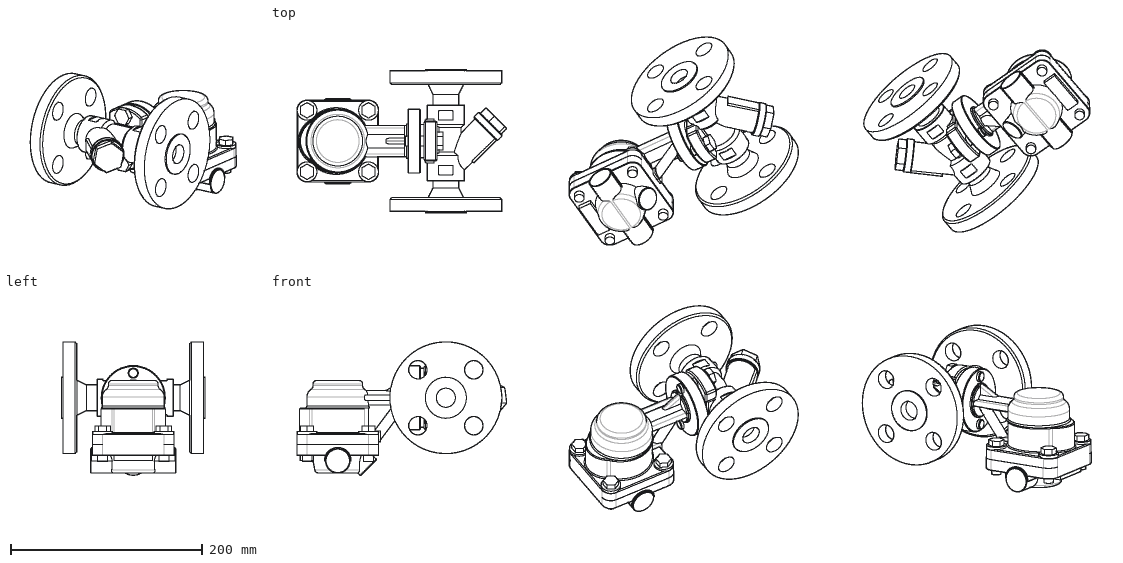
import cadquery as cq
import math

X_AXIS = (1, 0, 0)
Y_AXIS = (0, 1, 0)
Z_AXIS = (0, 0, 1)

pipe_length = 150.0
flange_dia = 117.0
flange_thickness = 14.6
flange_edge_chamfer = 2.0
raised_face_dia = 42.9
raised_face_height = 1.5
bolt_circle_dia = 82.6
flange_hole_dia = 19.0
flange_hole_count = 4
neck_dia = 27.2
neck_base_dia = 37.0
neck_taper_length = 10.0
neck_overlap = 1.0
bore_dia = 20.0
bore_depth = 10.0

body_dia = 39.0
body_y_min = -41.8
body_y_max = 37.7
body_edge_chamfer = 0.5
waist_dia = 32.0
waist_y_min = -11.6
waist_y_max = 14.0
waist_shoulder_length = 3.5
body_flat_width = 16.0
body_flat_length = 10.0
body_flat_corner = 1.5
body_flat_z = 18.0
body_flat_centres = (26.8, -30.3)

joint_dia = 67.0
joint_chamfer = 0.8
disc_x_min = -39.7
disc_thickness = 13.2
gap_width = 3.6
gasket_dia = 35.0
joint_block_width = 42.0
joint_block_thickness = 13.8
joint_block_chamfer = 1.5
joint_lug_height = 30.0
joint_lug_extra_width = 2.0
joint_lug_x_min = -22.0
joint_lug_thickness = 15.0
joint_bolt_dia = 10.5
joint_bolt_z = 25.7
joint_bolt_end = 3.3
joint_bolt_head_flats = 16.0
joint_bolt_head_height = 6.0

strainer_angle = 45.0
strainer_face = (52.85, 24.05, 0.0)
strainer_hex_flats = 28.4
strainer_hex_turn = 20.0
strainer_hex_height = 8.3
strainer_hex_chamfer = 0.6
strainer_collar_dia = 35.0
strainer_collar_height = 8.1
strainer_collar_chamfer = 0.8
strainer_base_dia = 29.5
strainer_top_dia = 30.6
strainer_depth = 62.0
strainer_pad_length = 33.5
strainer_pad_width = 12.0
strainer_pad_reach = 16.6

trap_x = -112.9
plate_side = 85.6
plate_corner_radius = 10.7
plate_top_z = -37.4
plate_joint_z = -48.7
plate_bottom_z = -60.5
plate_chamfer = 1.2
cover_inset = 0.2
plate_bolt_offset = 32.1
bolt_pad_dia = 20.6
bolt_pad_top_z = -35.2
plate_bolt_flats = 14.0
plate_bolt_top_z = -29.4
plate_bolt_dia = 10.0
plate_bolt_bottom_z = -66.4

housing_radius = 33.7
housing_shift = -1.6
housing_top_z = -10.7
housing_edge = 1.0
lobe_radius = 24.3
lobe_shift = -15.7
lobe_blend_radius = 14.0
housing_foot = 1.2
dome_radius = 32.3
dome_shoulder_z = 0.9
dome_foot_width = 1.0
dome_foot_top_z = -8.7
crown_radius = 26.0
crown_top_z = 18.1
crown_root_z = 12.6
crown_fillet = 3.7
dome_share = 0.68

bowl_top_radius = 27.0
bowl_bottom_radius = 23.5
bowl_bottom_z = -78.7
bowl_fillet = 4.0
side_boss_dia = 25.7
side_boss_length = 89.4
side_boss_z = -65.9
side_boss_chamfer = 0.6
side_boss_collar_dia = 28.0
side_boss_collar_reach = 0.8
bottom_pad_x_min = -152.3
bottom_pad_x_max = -138.5
bottom_pad_width = 40.2
bottom_pad_bottom_z = -65.8
drain_boss_dia = 24.0
drain_boss_length = 24.0
drain_boss_face = (-80.6, 0.0, -73.15)
drain_boss_chamfer = 0.8

arm_tube_dia = 15.2
arm_end_x = -43.0
arm_web_width = 33.0
arm_web_thickness = 5.8
arm_collar_dia = 33.0
arm_boss_dia = 36.0
arm_boss_x = -41.3
arm_rib_x_min = -62.7
arm_rib_width = 6.0
arm_rib_rounding = 2.5
arm_rib_top_z = 18.5
return_tube_dia = 11.0
return_tube_low = (-77.5, 0.0, -47.3)
return_tube_high = (-43.5, 0.0, -2.0)
return_pad_x = -68.0
return_pad_width = 15.0
return_pad_z_min = -46.0
return_pad_z_max = -34.5
return_pad_corner = 2.0


def rod(start, direction, diameter, length):
    plane = cq.Plane(origin=start, normal=direction)
    return cq.Workplane(plane).circle(diameter / 2).extrude(length)


def slab(x_range, y_range, z_range):
    size = [high - low for low, high in (x_range, y_range, z_range)]
    corner = (x_range[0], y_range[0], z_range[0])
    return cq.Workplane("XY").box(*size, centered=False).translate(corner)


def hexagon(plane, across_flats, height):
    across_corners = across_flats / math.cos(math.pi / 6)
    return cq.Workplane(plane).polygon(6, across_corners).extrude(height)


def pipe_flange():
    """Weld-neck flange at the -Y end, revolved about the pipe axis."""
    face_y = -pipe_length / 2
    front_y = face_y + raised_face_height
    back_y = front_y + flange_thickness
    taper_end_y = back_y + neck_taper_length
    neck_end_y = -body_y_max + neck_overlap
    rim = flange_dia / 2
    return (
        cq.Workplane("XY")
        .moveTo(0, face_y)
        .lineTo(raised_face_dia / 2, face_y)
        .lineTo(raised_face_dia / 2, front_y)
        .lineTo(rim, front_y)
        .lineTo(rim, back_y - flange_edge_chamfer)
        .lineTo(rim - flange_edge_chamfer, back_y)
        .lineTo(neck_base_dia / 2, back_y)
        .lineTo(neck_dia / 2, taper_end_y)
        .lineTo(neck_dia / 2, neck_end_y)
        .lineTo(0, neck_end_y)
        .close()
        .revolve(360, (0, 0), (0, 1))
    )


def flange_openings():
    """Bolt holes of both flanges and the blind bores in the raised faces."""
    holes = (
        cq.Workplane("XZ", origin=(0, pipe_length / 2, 0))
        .polarArray(bolt_circle_dia / 2, 180 / flange_hole_count, 360, flange_hole_count)
        .circle(flange_hole_dia / 2)
        .extrude(pipe_length)
    )
    span = pipe_length / 2 - raised_face_height - flange_thickness
    keep = slab((-flange_dia, flange_dia), (-span, span), (-flange_dia, flange_dia))
    bore = rod((0, -pipe_length / 2, 0), Y_AXIS, bore_dia, bore_depth)
    return holes.cut(keep).union(bore).union(bore.mirror("XZ"))


def connector_body():
    """Round body with a waist behind the bolt heads and wrench flats above and below."""
    rim = body_dia / 2
    waist = waist_dia / 2
    body = (
        cq.Workplane("XY")
        .moveTo(0, body_y_min)
        .lineTo(rim, body_y_min)
        .lineTo(rim, waist_y_min - waist_shoulder_length)
        .lineTo(waist, waist_y_min)
        .lineTo(waist, waist_y_max)
        .lineTo(rim, waist_y_max + waist_shoulder_length)
        .lineTo(rim, body_y_max)
        .lineTo(0, body_y_max)
        .close()
        .revolve(360, (0, 0), (0, 1))
    )
    body = body.faces("<Y or >Y").chamfer(body_edge_chamfer)
    for y in body_flat_centres:
        flat = (
            cq.Workplane("XY", origin=(0, y, body_flat_z))
            .rect(body_flat_width, body_flat_length)
            .extrude(body_dia)
            .edges("|Z")
            .fillet(body_flat_corner)
        )
        body = body.cut(flat).cut(flat.mirror("XY"))
    return body


def joint():
    """Round trap disc, gasket ring and flat-sided connector flange, held by two bolts."""
    disc = rod((disc_x_min, 0, 0), X_AXIS, joint_dia, disc_thickness)
    disc = disc.edges().chamfer(joint_chamfer)
    block_x = disc_x_min + disc_thickness + gap_width
    gasket = rod((disc_x_min, 0, 0), X_AXIS, gasket_dia, block_x - disc_x_min + 1)

    block_end = block_x + joint_block_thickness
    half_width = joint_block_width / 2
    block = rod((block_x, 0, 0), X_AXIS, joint_dia, joint_block_thickness)
    block = block.intersect(
        slab((block_x, block_end), (-half_width, half_width), (-joint_dia, joint_dia))
    )
    block = block.edges().chamfer(joint_block_chamfer)

    lug_half_width = half_width + joint_lug_extra_width
    lug = slab(
        (joint_lug_x_min, joint_lug_x_min + joint_lug_thickness),
        (-lug_half_width, lug_half_width),
        (-joint_lug_height / 2, joint_lug_height / 2),
    )
    assembly = disc.union(gasket).union(block).union(lug.edges("|Z").chamfer(joint_block_chamfer))

    stub_x = disc_x_min - joint_bolt_end
    for z in (-joint_bolt_z, joint_bolt_z):
        bolt = rod((stub_x, 0, z), X_AXIS, joint_bolt_dia, block_end - stub_x)
        bolt = bolt.faces("<X").chamfer(joint_chamfer)
        head_plane = cq.Plane(origin=(block_end, 0, z), xDir=Y_AXIS, normal=X_AXIS)
        head = hexagon(head_plane, joint_bolt_head_flats, joint_bolt_head_height)
        assembly = assembly.union(bolt).union(head)
    return assembly


def strainer():
    """Tapered branch with collar and hexagon cap; local Z points out of the cap face."""
    collar_top = -strainer_hex_height
    collar_bottom = collar_top - strainer_collar_height
    taper = (
        cq.Workplane("XZ")
        .moveTo(0, -strainer_depth)
        .lineTo(strainer_base_dia / 2, -strainer_depth)
        .lineTo(strainer_top_dia / 2, collar_bottom)
        .lineTo(0, collar_bottom)
        .close()
        .revolve(360, (0, 0), (0, 1))
    )
    collar = rod((0, 0, collar_bottom), Z_AXIS, strainer_collar_dia, strainer_collar_height)
    collar = collar.edges().chamfer(strainer_collar_chamfer)
    cap = hexagon("XY", strainer_hex_flats, strainer_hex_height)
    cap_corners = strainer_hex_flats / math.cos(math.pi / 6)
    cap_round = rod((0, 0, 0), Z_AXIS, cap_corners, strainer_hex_height)
    cap = cap.intersect(cap_round.faces(">Z").chamfer(strainer_hex_chamfer))
    cap = cap.rotate((0, 0, 0), Z_AXIS, strainer_hex_turn).translate((0, 0, collar_top))
    pad = slab(
        (0, strainer_pad_reach),
        (-strainer_pad_width / 2, strainer_pad_width / 2),
        (collar_bottom - strainer_pad_length, collar_bottom),
    )
    branch = taper.union(collar).union(cap).union(pad)
    branch = branch.rotate((0, 0, 0), X_AXIS, -90)
    return branch.rotate((0, 0, 0), Z_AXIS, -strainer_angle).translate(strainer_face)


def trap_plate(width_y, bottom_z, top_z):
    return (
        cq.Workplane("XY", origin=(0, 0, bottom_z))
        .rect(plate_side, width_y)
        .extrude(top_z - bottom_z)
        .edges("|Z")
        .fillet(plate_corner_radius)
    )


def trap_plates():
    """Square cover and body plates with four through bolts."""
    upper = trap_plate(plate_side - 2 * cover_inset, plate_joint_z, plate_top_z)
    upper = upper.faces(">Z").chamfer(plate_chamfer)
    lower = trap_plate(plate_side, plate_bottom_z, plate_joint_z)
    lower = lower.faces("<Z").chamfer(plate_chamfer / 2)
    plates = upper.union(lower)
    for x in (-plate_bolt_offset, plate_bolt_offset):
        for y in (-plate_bolt_offset, plate_bolt_offset):
            pad = rod((x, y, plate_joint_z), Z_AXIS, bolt_pad_dia, bolt_pad_top_z - plate_joint_z)
            head_plane = cq.Plane(origin=(x, y, bolt_pad_top_z), xDir=Y_AXIS, normal=Z_AXIS)
            head = hexagon(head_plane, plate_bolt_flats, plate_bolt_top_z - bolt_pad_top_z)
            shank_length = plate_joint_z - plate_bolt_bottom_z
            shank = rod((x, y, plate_bolt_bottom_z), Z_AXIS, plate_bolt_dia, shank_length)
            plates = plates.union(pad).union(head).union(shank)
    return plates


def housing_drum(growth, top_z, edge):
    """Drum and side lobe blended into one upright prism, chamfered along its top edge."""
    height = top_z - plate_joint_z
    drum = rod((housing_shift, 0, plate_joint_z), Z_AXIS, 2 * (housing_radius + growth), height)
    lobe = rod((lobe_shift, 0, plate_joint_z), Z_AXIS, 2 * (lobe_radius + growth), height)
    prism = drum.union(lobe)
    grooves = prism.edges("|Z").filter(lambda seam: abs(seam.Center().y) > lobe_radius / 2)
    return grooves.fillet(lobe_blend_radius).faces(">Z").chamfer(edge)


def dome_and_crown():
    """Dome shoulder and the concave root below the crown are two arcs that meet tangentially."""
    step = dome_radius - crown_radius
    rise = crown_root_z - dome_shoulder_z
    radius_sum = (step**2 + rise**2) / (2 * step)
    shoulder_radius = dome_share * radius_sum
    root_radius = radius_sum - shoulder_radius
    shoulder_centre = dome_radius - shoulder_radius
    root_centre = crown_radius + root_radius
    sweep = math.asin(rise / radius_sum)

    def shoulder_point(angle):
        x = shoulder_centre + shoulder_radius * math.cos(angle)
        return x, dome_shoulder_z + shoulder_radius * math.sin(angle)

    def root_point(angle):
        x = root_centre - root_radius * math.cos(angle)
        return x, crown_root_z - root_radius * math.sin(angle)

    dome = (
        cq.Workplane("XZ")
        .moveTo(0, plate_joint_z)
        .lineTo(dome_radius, plate_joint_z)
        .lineTo(dome_radius, housing_top_z)
        .lineTo(dome_radius + dome_foot_width, housing_top_z)
        .lineTo(dome_radius, dome_foot_top_z)
        .lineTo(dome_radius, dome_shoulder_z)
        .threePointArc(shoulder_point(sweep / 2), shoulder_point(sweep))
        .threePointArc(root_point(sweep / 2), (crown_radius, crown_root_z))
        .lineTo(crown_radius, crown_top_z)
        .lineTo(0, crown_top_z)
        .close()
        .revolve(360, (0, 0), (0, 1))
    )
    return dome.faces(">Z").edges().fillet(crown_fillet)


def trap_housing():
    """Drum with a side lobe and a flared foot, below the domed and crowned cap."""
    drum = housing_drum(0, housing_top_z, housing_edge)
    foot = housing_drum(housing_foot, plate_top_z + housing_foot, housing_foot)
    return drum.union(foot).union(dome_and_crown())


def trap_bottom():
    """Tapered bowl with a collared cross boss along Y and an outer pad."""
    bowl = (
        cq.Workplane("XZ")
        .moveTo(0, plate_joint_z)
        .lineTo(bowl_top_radius, plate_joint_z)
        .lineTo(bowl_top_radius, plate_bottom_z)
        .lineTo(bowl_bottom_radius, bowl_bottom_z)
        .lineTo(0, bowl_bottom_z)
        .close()
        .revolve(360, (0, 0), (0, 1))
        .faces("<Z")
        .edges()
        .fillet(bowl_fillet)
    )
    boss = rod((0, -side_boss_length / 2, side_boss_z), Y_AXIS, side_boss_dia, side_boss_length)
    boss = boss.faces("<Y or >Y").chamfer(side_boss_chamfer)
    pad = slab(
        (bottom_pad_x_min - trap_x, bottom_pad_x_max - trap_x),
        (-bottom_pad_width / 2, bottom_pad_width / 2),
        (bottom_pad_bottom_z, plate_joint_z),
    )
    collar_length = plate_side + 2 * side_boss_collar_reach
    collar_start = (0, -collar_length / 2, side_boss_z)
    collar = rod(collar_start, Y_AXIS, side_boss_collar_dia, collar_length)
    collar = collar.intersect(
        slab(
            (-side_boss_collar_dia, side_boss_collar_dia),
            (-collar_length, collar_length),
            (side_boss_z, plate_joint_z),
        )
    )
    return bowl.union(boss).union(collar).union(pad)


def drain_boss():
    """Round boss whose axis drops at 45 degrees from the bowl towards +X."""
    boss = rod(drain_boss_face, (-1, 0, 1), drain_boss_dia, drain_boss_length)
    outward = cq.Vector(1, 0, -1)
    end_face = boss.faces(cq.selectors.DirectionMinMaxSelector(outward))
    return end_face.chamfer(drain_boss_chamfer)


def arm():
    """Central tube on a round-edged web, with a stepped end boss and a rising top rib."""
    tube = rod((trap_x, 0, 0), X_AXIS, arm_tube_dia, disc_x_min - trap_x)
    web = (
        cq.Workplane("YZ", origin=(trap_x, 0, 0))
        .slot2D(arm_web_width, arm_web_thickness)
        .extrude(arm_end_x - trap_x)
    )
    collar = rod((arm_end_x, 0, 0), X_AXIS, arm_collar_dia, disc_x_min - arm_end_x)
    boss = rod((arm_boss_x, 0, 0), X_AXIS, arm_boss_dia, disc_x_min - arm_boss_x)

    rib_start_z = arm_tube_dia / 2
    slope = cq.Vector(arm_end_x - arm_rib_x_min, 0, arm_rib_top_z - rib_start_z)
    rib = (
        cq.Workplane("XZ", origin=(0, arm_rib_width / 2, 0))
        .moveTo(arm_rib_x_min, 0)
        .lineTo(arm_rib_x_min, rib_start_z)
        .lineTo(arm_end_x, arm_rib_top_z)
        .lineTo(arm_end_x, 0)
        .close()
        .extrude(arm_rib_width)
        .edges(cq.selectors.ParallelDirSelector(slope))
        .fillet(arm_rib_rounding)
    )
    lug = slab(
        (arm_end_x, disc_x_min),
        (-arm_rib_width / 2, arm_rib_width / 2),
        (0, arm_rib_top_z),
    )
    return tube.union(web).union(collar).union(boss).union(rib).union(lug)


def return_tube():
    """Inclined tube from the trap bottom to the arm, with a pad where it leaves the plates."""
    low = cq.Vector(*return_tube_low)
    path = cq.Vector(*return_tube_high) - low
    tube = rod(return_tube_low, path.toTuple(), return_tube_dia, path.Length)
    pad = slab(
        (trap_x, return_pad_x),
        (-return_pad_width / 2, return_pad_width / 2),
        (return_pad_z_min, return_pad_z_max),
    )
    return tube.union(pad.edges("|X").fillet(return_pad_corner))


trap = trap_plates().union(trap_housing()).union(trap_bottom()).translate((trap_x, 0, 0))
near_flange = pipe_flange()
result = (
    connector_body()
    .union(near_flange)
    .union(near_flange.mirror("XZ"))
    .union(strainer())
    .union(joint())
    .union(arm())
    .union(return_tube())
    .union(drain_boss())
    .union(trap)
    .cut(flange_openings())
)